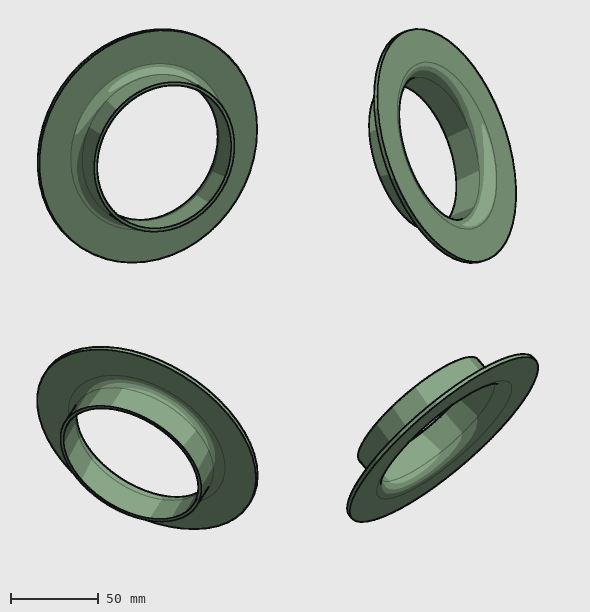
import cadquery as cq

flange_diameter = 138.0
bore_diameter = 84.9
collar_diameter = 88.9
total_length = 23.0
flange_thickness = 2.5
outer_bend_radius = 5.0
bore_bend_radius = 7.0

flange_radius = flange_diameter / 2
bore_radius = bore_diameter / 2
collar_radius = collar_diameter / 2


def flanged_collar_profile():
    """Half section in the XY plane: X is the axis, Y the radius."""
    return (
        cq.Workplane("XY")
        .moveTo(0, flange_radius)
        .lineTo(flange_thickness, flange_radius)
        .lineTo(flange_thickness, collar_radius + outer_bend_radius)
        .radiusArc((flange_thickness + outer_bend_radius, collar_radius), -outer_bend_radius)
        .lineTo(total_length, collar_radius)
        .lineTo(total_length, bore_radius)
        .lineTo(bore_bend_radius, bore_radius)
        .radiusArc((0, bore_radius + bore_bend_radius), bore_bend_radius)
        .close()
    )


result = flanged_collar_profile().revolve(360, (0, 0, 0), (1, 0, 0))